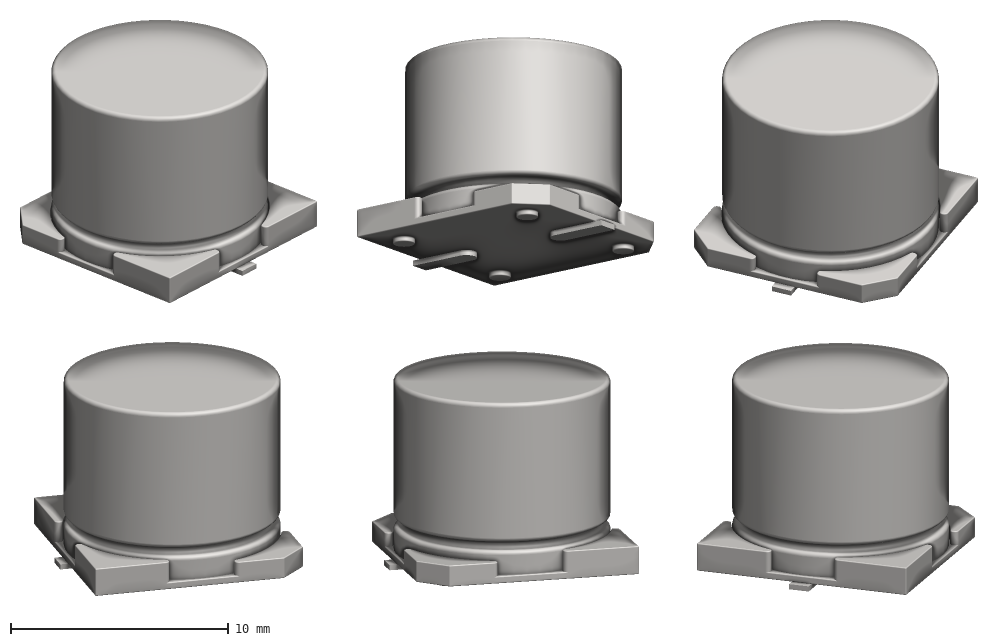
import cadquery as cq
import math

total_height = 8.7
lead_thickness = 0.25

can_radius = 5.0
can_edge_radius = 0.2
groove_floor_radius = 4.5
groove_corner_radius = 0.18
groove_floor_width = 0.04
groove_height = 1.9
groove_lip_radius = 0.2

base_width = 10.3
corner_chamfer = 1.25
low_corner_top = 1.25
high_corner_top = 1.58
floor_top = 0.58
pocket_radius = 5.05
notch_width = 3.14
notch_outer_radius = 0.2
notch_inner_radius = 0.15
base_edge_radius = 0.05

lead_span = 11.0
lead_width = 0.97
lead_inner_end = 2.27
foot_diameter = 1.0
foot_offset = 3.6
foot_edge_radius = 0.05

half_base = base_width / 2


def make_can():
    """Solid can with a rolled groove above the base, revolved about Z."""
    groove_mouth_radius = groove_floor_radius + groove_corner_radius
    groove_top = groove_height + groove_floor_width / 2 + groove_corner_radius
    groove_bottom = groove_height - groove_floor_width / 2 - groove_corner_radius
    lip_start_radius = can_radius - groove_lip_radius
    outline = (
        cq.Workplane("XZ")
        .moveTo(0, floor_top)
        .lineTo(can_radius, floor_top)
        .lineTo(can_radius, groove_bottom - groove_lip_radius)
        .radiusArc((lip_start_radius, groove_bottom), -groove_lip_radius)
        .lineTo(groove_mouth_radius, groove_bottom)
        .radiusArc((groove_floor_radius, groove_bottom + groove_corner_radius), groove_corner_radius)
        .lineTo(groove_floor_radius, groove_top - groove_corner_radius)
        .radiusArc((groove_mouth_radius, groove_top), groove_corner_radius)
        .lineTo(lip_start_radius, groove_top)
        .radiusArc((can_radius, groove_top + groove_lip_radius), -groove_lip_radius)
        .lineTo(can_radius, total_height - can_edge_radius)
        .radiusArc((can_radius - can_edge_radius, total_height), -can_edge_radius)
        .lineTo(0, total_height)
        .close()
    )
    return outline.revolve(360, (0, 0, 0), (0, 1, 0))


def base_block(top):
    """Base plate up to the given height, with sharp top edges and two chamfered -X corners."""
    height = top - lead_thickness
    block = cq.Workplane("XY").workplane(offset=lead_thickness).rect(base_width, base_width).extrude(height)
    block = block.edges("|Z and <X").chamfer(corner_chamfer)
    return block.edges("|Z").fillet(base_edge_radius)


def round_corner_tips(prism, x_side, y_side):
    """Round the two noses of a corner prism where it borders the side notches."""
    wall = notch_width / 2
    pocket_reach = math.sqrt(pocket_radius**2 - wall**2)
    for reach, radius in ((half_base, notch_outer_radius), (pocket_reach, notch_inner_radius)):
        for x, y in ((wall, reach), (reach, wall)):
            edge_point = (x_side * x, y_side * y, high_corner_top / 2)
            prism = prism.edges("|Z").edges(cq.NearestToPointSelector(edge_point)).fillet(radius)
    return prism


def corner_region(x_side, y_side):
    """Tall prism over one corner, outside the can pocket and the side notches, with rounded noses."""
    inner = notch_width / 2
    size = half_base - inner
    prism = (
        cq.Workplane("XY")
        .workplane(offset=lead_thickness)
        .center(x_side * (inner + size / 2), y_side * (inner + size / 2))
        .rect(size, size)
        .extrude(high_corner_top)
    )
    pocket = cq.Workplane("XY").circle(pocket_radius).extrude(total_height)
    return round_corner_tips(prism.cut(pocket), x_side, y_side)


def make_base():
    """Thin floor plate with a raised block at each corner."""
    base = base_block(floor_top).faces("<Z or >Z").edges().fillet(base_edge_radius)
    rounded_bottom = base_block(high_corner_top).faces("<Z").edges().fillet(base_edge_radius)
    for x_side, corner_top in ((-1, low_corner_top), (1, high_corner_top)):
        for y_side in (-1, 1):
            corner = base_block(corner_top).intersect(corner_region(x_side, y_side))
            corner = corner.faces(">Z").edges().fillet(base_edge_radius)
            base = base.union(corner.intersect(rounded_bottom))
    return base


def make_lead(side):
    """Flat lead reaching out from under the base, with a rounded inner end."""
    end_radius = lead_width / 2
    round_start = lead_inner_end + end_radius
    return (
        cq.Workplane("XY")
        .moveTo(side * lead_span / 2, -end_radius)
        .lineTo(side * round_start, -end_radius)
        .threePointArc((side * lead_inner_end, 0), (side * round_start, end_radius))
        .lineTo(side * lead_span / 2, end_radius)
        .close()
        .extrude(lead_thickness)
    )


def make_foot():
    """Round foot with a rounded lower edge and a fillet where it meets the base."""
    radius = foot_diameter / 2
    return (
        cq.Workplane("XZ")
        .lineTo(radius - foot_edge_radius, 0)
        .radiusArc((radius, foot_edge_radius), -foot_edge_radius)
        .lineTo(radius, lead_thickness - foot_edge_radius)
        .radiusArc((radius + foot_edge_radius, lead_thickness), foot_edge_radius)
        .lineTo(0, lead_thickness)
        .close()
        .revolve(360, (0, 0, 0), (0, 1, 0))
    )


result = make_base().union(make_can())
for x_side in (-1, 1):
    result = result.union(make_lead(x_side))
    for y_side in (-1, 1):
        foot = make_foot().translate((x_side * foot_offset, y_side * foot_offset, 0))
        result = result.union(foot)